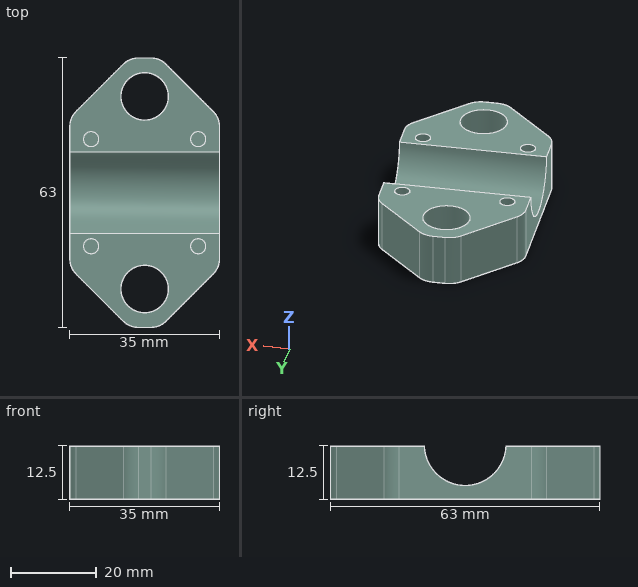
import cadquery as cq

width = 35.0
length = 63.0
thickness = 12.5

corner_chamfer = 14.0
corner_radius = 5.0

groove_radius = 9.5
groove_depth = 9.2
groove_axis_z = thickness - groove_depth + groove_radius

end_hole_diameter = 11.0
end_hole_spacing = 45.0

small_hole_diameter = 3.5
small_hole_spacing = 25.0
small_hole_depth = 8.0


def make_body():
    """Block with 45 degree corners, all vertical edges rounded."""
    block = cq.Workplane("XY").box(width, length, thickness, centered=(True, True, False))
    chamfered = block.edges("|Z").chamfer(corner_chamfer)
    return chamfered.edges("|Z").fillet(corner_radius)


def make_groove():
    """Cylinder that cuts the saddle across the full width."""
    return (
        cq.Workplane("YZ")
        .center(0, groove_axis_z)
        .circle(groove_radius)
        .extrude(width, both=True)
    )


def make_end_holes():
    """Cylinders through the full thickness, one at each end."""
    return (
        cq.Workplane("XY")
        .rarray(0.6, end_hole_spacing, 1, 2)
        .circle(end_hole_diameter / 2)
        .extrude(thickness)
    )


def make_small_holes():
    """Four flat-bottomed cylinders reaching down from the top face."""
    return (
        cq.Workplane("XY", origin=(0, 0, thickness))
        .rarray(small_hole_spacing, small_hole_spacing, 2, 2)
        .circle(small_hole_diameter / 2)
        .extrude(-small_hole_depth)
    )


result = make_body().cut(make_groove()).cut(make_end_holes()).cut(make_small_holes())